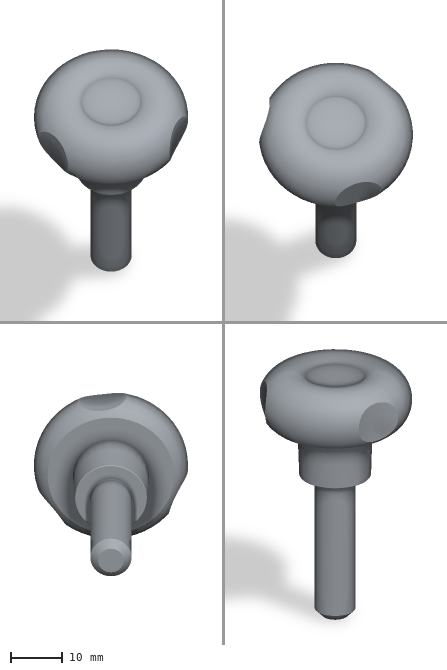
import cadquery as cq
import math

rim_center_radius = 9.0
rim_section_radius = 6.0
head_height = 11.0
dish_depth = 1.0

scallop_count = 3
scallop_radius = 15.0
scallop_center_distance = 28.44
first_scallop_angle = -90.0

hub_height = 11.0
hub_bottom_radius = 7.0
hub_taper_angle = 2.0
hub_end_fillet_radius = 0.2

stud_radius = 4.0
stud_length = 30.0
tip_chamfer_height = 1.5
tip_radius = 2.5

head_bottom = hub_height
head_top = head_bottom + head_height
rim_center_height = head_top - rim_section_radius
dish_height = head_top - dish_depth


def rim_half_width(height):
    """Half the width of the round rim section at a height."""
    return math.sqrt(rim_section_radius**2 - (height - rim_center_height) ** 2)


def make_head():
    """Revolve the rim section, with a flat underside and a flat dish floor."""
    dish_radius = rim_center_radius - rim_half_width(dish_height)
    underside_radius = rim_center_radius + rim_half_width(head_bottom)
    rim_outer_radius = rim_center_radius + rim_section_radius
    return (
        cq.Workplane("XZ")
        .moveTo(0, head_bottom)
        .lineTo(underside_radius, head_bottom)
        .threePointArc((rim_outer_radius, rim_center_height), (dish_radius, dish_height))
        .lineTo(0, dish_height)
        .close()
        .revolve(360, (0, 0), (0, 1))
    )


def make_scallop_cutters():
    """Upright cylinders that cut the finger scallops into the rim."""
    return (
        cq.Workplane("XY")
        .workplane(offset=head_bottom)
        .polarArray(scallop_center_distance, first_scallop_angle, 360, scallop_count)
        .circle(scallop_radius)
        .extrude(head_height)
    )


def make_hub_and_stud():
    """Revolve the tapered hub with the stud, then round the lower hub edge and the stud root."""
    hub_top_radius = hub_bottom_radius + hub_height * math.tan(math.radians(hub_taper_angle))
    tip_height = -stud_length
    body = (
        cq.Workplane("XZ")
        .moveTo(0, tip_height)
        .lineTo(tip_radius, tip_height)
        .lineTo(stud_radius, tip_height + tip_chamfer_height)
        .lineTo(stud_radius, 0)
        .lineTo(hub_bottom_radius, 0)
        .lineTo(hub_top_radius, head_bottom)
        .lineTo(0, head_bottom)
        .close()
        .revolve(360, (0, 0), (0, 1))
    )
    hub_end_edges = body.faces("|Z").faces("<Z[1]").edges()
    return hub_end_edges.fillet(hub_end_fillet_radius)


result = make_head().cut(make_scallop_cutters()).union(make_hub_and_stud())